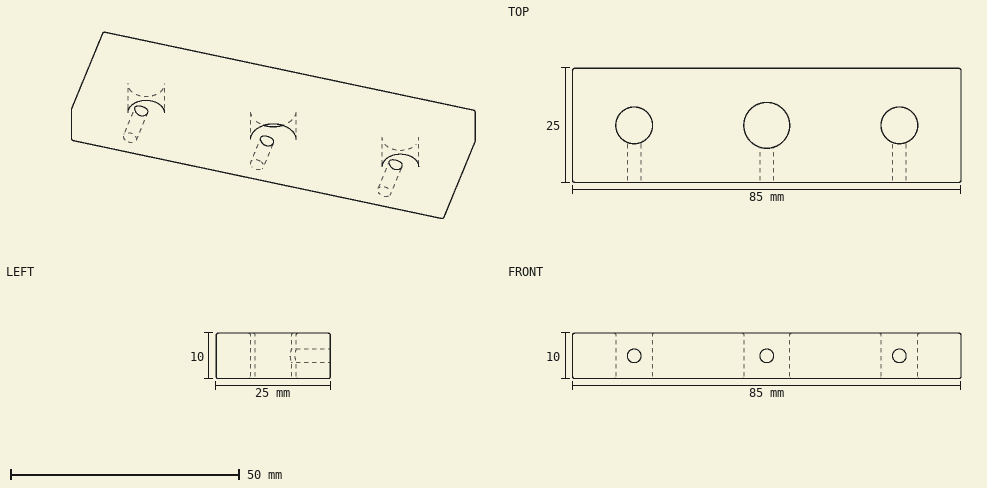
import cadquery as cq

length = 85.0
width = 25.0
height = 10.0
edge_radius = 0.5

center_hole_diameter = 10.0
end_hole_diameter = 8.0
hole_spacing = 29.0
vertical_holes = (
    (-hole_spacing, end_hole_diameter),
    (0.0, center_hole_diameter),
    (hole_spacing, end_hole_diameter),
)

cross_hole_diameter = 3.0


def vertical_hole(x, diameter):
    """Cutter for a vertical hole through the full height at x."""
    bottom = cq.Workplane("XY", origin=(x, 0, -height / 2))
    return bottom.circle(diameter / 2).extrude(height)


def drilled_bar():
    """Bar with vertical through holes; its outer edges and the hole mouths are all rounded."""
    bar = cq.Workplane("XY").box(length, width, height).edges().fillet(edge_radius)
    for x, diameter in vertical_holes:
        bar = bar.cut(vertical_hole(x, diameter))
    mouths = bar.faces("<Z or >Z").edges("%CIRCLE")
    return mouths.fillet(edge_radius)


def cross_hole(x):
    """Cutter running from the -Y face to the axis of the vertical hole at x."""
    return cq.Workplane("XZ").center(x, 0).circle(cross_hole_diameter / 2).extrude(width / 2)


result = drilled_bar()
for x, _ in vertical_holes:
    result = result.cut(cross_hole(x))